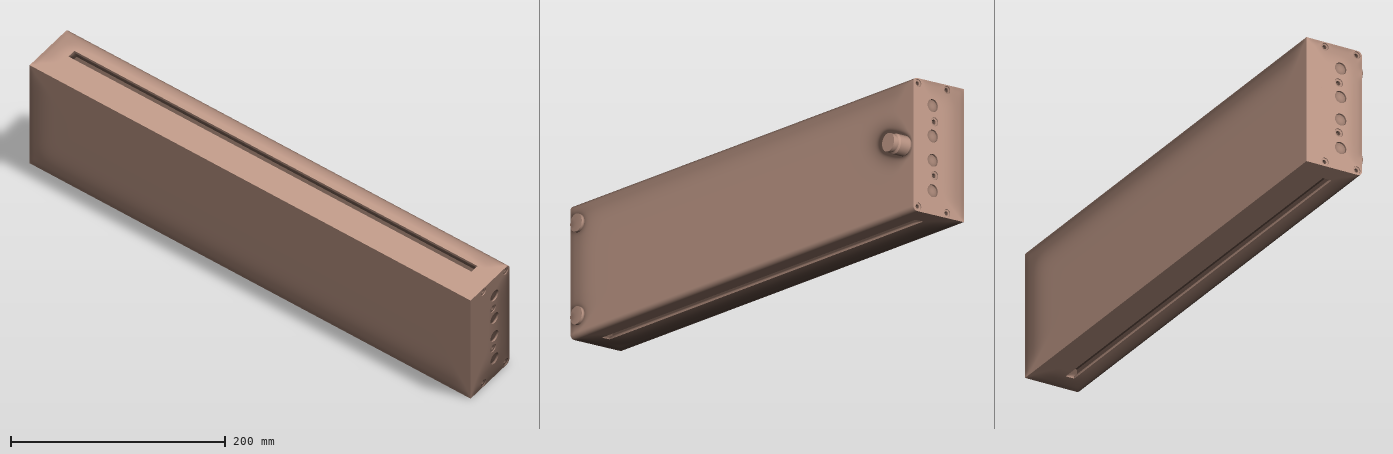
import cadquery as cq

LENGTH = 514.0
HEIGHT = 130.0
FRONT_DEPTH = 15.5
BODY_DEPTH = 60.0
TOTAL_DEPTH = 81.0
CAP_LENGTH = 22.0
BACK_EDGE_RADIUS = 4.5

SLOT_Y = 35.5
MOUTH_WIDTH = 9.0
LIP_THICKNESS = 2.5
CHANNEL_WIDTH = 15.5
CHANNEL_HEIGHT = 7.5

PORT_Y = 37.0
PORT_HEIGHTS = (12.0, 41.5)
PORT_DIAMETER = 12.5
PORT_DEPTH = 2.0

FIXING_Y = 35.0
FIXING_HEIGHT = 26.0
FIXING_DIAMETER = 8.5
FIXING_DEPTH = 1.0
FIXING_SOCKET_DIAMETER = 4.5

SCREW_YS = (20.0, 54.5)
SCREW_HEIGHT = 60.0
SCREW_DIAMETER = 7.5
SCREW_DEPTH = 1.0
SCREW_SOCKET_DIAMETER = 4.0

SOCKET_DEPTH = 3.0

CONNECTOR_X = 11.5
FOOT_DIAMETER = 17.5
FOOT_LENGTH = 2.0
BARREL_DIAMETER = 19.5
BARREL_END_Y = 75.0
BARREL_CHAMFER = 1.5
NECK_DIAMETER = 16.5
FLANGE_DIAMETER = 18.0
FLANGE_THICKNESS = 3.0

BUTTON_END_DISTANCE = 12.5
BUTTON_HEIGHT = 45.0
BUTTON_DIAMETER = 17.5
BUTTON_LENGTH = 3.0


def back_bar(x_start, length):
    """Bar behind the front pad, with both back edges rounded."""
    depth = BODY_DEPTH - FRONT_DEPTH
    bar = cq.Workplane("XY").box(length, depth, HEIGHT, centered=(False, False, True))
    bar = bar.edges("|X and >Y").fillet(BACK_EDGE_RADIUS)
    return bar.translate((x_start, FRONT_DEPTH, 0))


def disc_x(y, z, diameter, depth):
    """Cylinder along X, starting at X = 0."""
    return cq.Workplane("YZ").center(y, z).circle(diameter / 2).extrude(depth)


def disc_y(x, z, diameter, y_start, y_end):
    """Cylinder along Y."""
    return cq.Workplane("XZ", origin=(x, y_start, z)).circle(diameter / 2).extrude(y_start - y_end)


def make_pad():
    return cq.Workplane("XY").box(LENGTH, FRONT_DEPTH, HEIGHT, centered=(False, False, True))


def make_slot(length):
    """T-shaped cutter for the top slot, centred along the rail."""
    channel_top = HEIGHT / 2 - LIP_THICKNESS
    channel = cq.Workplane("XY").box(length, CHANNEL_WIDTH, CHANNEL_HEIGHT)
    channel = channel.translate((LENGTH / 2, SLOT_Y, channel_top - CHANNEL_HEIGHT / 2))
    mouth = cq.Workplane("XY").box(length, MOUTH_WIDTH, LIP_THICKNESS)
    mouth = mouth.translate((LENGTH / 2, SLOT_Y, channel_top + LIP_THICKNESS / 2))
    return channel.union(mouth)


def make_rail():
    rail_length = LENGTH - 2 * CAP_LENGTH
    top_slot = make_slot(rail_length)
    bottom_slot = top_slot.mirror("XY")
    return back_bar(CAP_LENGTH, rail_length).cut(top_slot).cut(bottom_slot)


def cut_ports(cap):
    for side in (-1, 1):
        for height in PORT_HEIGHTS:
            cap = cap.cut(disc_x(PORT_Y, side * height, PORT_DIAMETER, PORT_DEPTH))
    return cap


def cut_socketed_recess(cap, y, z, diameter, depth, socket_diameter):
    """Round recess with a smaller, deeper socket at its centre."""
    recess = disc_x(y, z, diameter, depth)
    socket = disc_x(y, z, socket_diameter, depth + SOCKET_DEPTH)
    return cap.cut(recess).cut(socket)


def cut_fixings_and_screws(cap):
    for side in (-1, 1):
        cap = cut_socketed_recess(
            cap, FIXING_Y, side * FIXING_HEIGHT, FIXING_DIAMETER, FIXING_DEPTH, FIXING_SOCKET_DIAMETER
        )
        for screw_y in SCREW_YS:
            cap = cut_socketed_recess(
                cap, screw_y, side * SCREW_HEIGHT, SCREW_DIAMETER, SCREW_DEPTH, SCREW_SOCKET_DIAMETER
            )
    return cap


def make_plain_cap():
    """End cap with its outer face at X = 0 and the recesses in that face."""
    return cut_fixings_and_screws(cut_ports(back_bar(0, CAP_LENGTH)))


def make_connector_cap():
    barrel_start = BODY_DEPTH + FOOT_LENGTH
    flange_start = TOTAL_DEPTH - FLANGE_THICKNESS
    foot = disc_y(CONNECTOR_X, 0, FOOT_DIAMETER, BODY_DEPTH, barrel_start)
    barrel = disc_y(CONNECTOR_X, 0, BARREL_DIAMETER, barrel_start, BARREL_END_Y)
    barrel = barrel.faces(">Y").chamfer(BARREL_CHAMFER)
    neck = disc_y(CONNECTOR_X, 0, NECK_DIAMETER, BARREL_END_Y, flange_start)
    flange = disc_y(CONNECTOR_X, 0, FLANGE_DIAMETER, flange_start, TOTAL_DEPTH)
    return make_plain_cap().union(foot).union(barrel).union(neck).union(flange)


def make_button_cap():
    cap = make_plain_cap().mirror("YZ").translate((LENGTH, 0, 0))
    button_x = LENGTH - BUTTON_END_DISTANCE
    button_end = BODY_DEPTH + BUTTON_LENGTH
    for side in (-1, 1):
        cap = cap.union(disc_y(button_x, side * BUTTON_HEIGHT, BUTTON_DIAMETER, BODY_DEPTH, button_end))
    return cap


pad = make_pad()
rail = make_rail()
connector_cap = make_connector_cap()
button_cap = make_button_cap()

result = cq.Compound.makeCompound([pad.val(), rail.val(), connector_cap.val(), button_cap.val()])